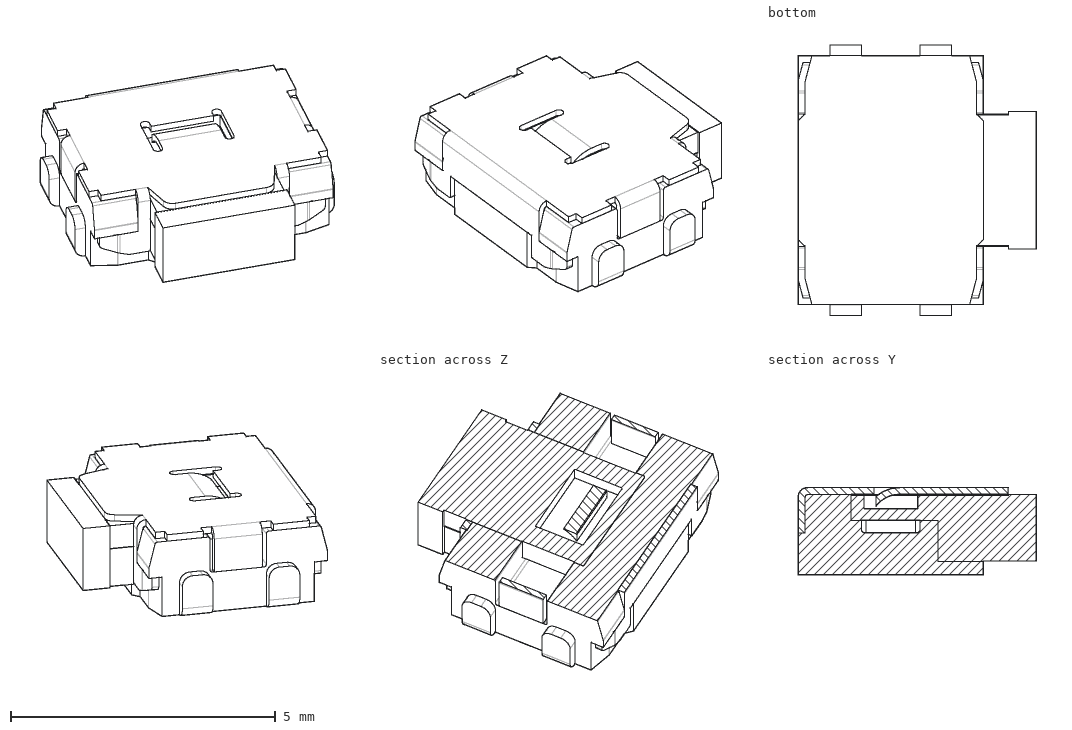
import cadquery as cq
import math


total_height = 1.65
sheet = 0.13
bend_radius = 0.18
inner_bend_radius = bend_radius - sheet
housing_length = 3.5
housing_width = 4.7
housing_height = total_height - sheet
half_length = housing_length / 2
half_width = housing_width / 2
shoulder_z = 0.8
edge_round = 0.05

taper_start_z = 1.0
taper_inset = 0.13
foot_block_half = 1.12
recess_x = half_length - sheet
notch_half = 0.55

wall_half = 1.49
tab_half = 0.47
relief_half = 0.685
corner_relief = 0.18
window_slot_y = 0.705
window_slot_length = 1.01
window_slot_width = 0.18
window_start_x = -0.316
spring_tip_x = -0.28
spring_root_x = 0.174
spring_radius = 0.7
visor_end_half = 1.046
visor_round = 0.2

fold_angle = math.radians(14.8)
fold_outer_radius = sheet + edge_round
fold_y = 1.845
wing_start_y = 1.25
wing_end_y = 2.225
wing_bottom_z = 0.3
wing_slope_start_y = 1.665
wing_slope_end_z = 0.507
wing_tip_round = 0.08
wing_slope_round = 0.1
wing_inner_round = 0.03

button_end_x = 2.75
head_start_x = 2.22
head_width = 2.6
neck_width = 2.5
stem_width = 2.46
button_bottom_z = 0.26
slide_bottom_z = 1.03
slide_clearance = 0.02
slide_start_x = -0.75
stem_start_x = 0.9
spring_pocket_depth = 0.27

terminal_pitch = 1.7
terminal_width = 0.6
terminal_height = 0.85
terminal_thickness = 0.205
terminal_round = 0.2


def box(x0, x1, y0, y1, z0, z1):
    """Block between two opposite corners."""
    return cq.Workplane("XY").box(x1 - x0, y1 - y0, z1 - z0, centered=False).translate((x0, y0, z0))


def four_corners(quadrant):
    """The +X +Y body and its mirror images in the other three quadrants."""
    side = quadrant.union(quadrant.mirror("XZ"))
    return side.union(side.mirror("YZ"))


def make_button():
    slide_top_z = housing_height - slide_clearance
    head = box(head_start_x, button_end_x, -head_width / 2, head_width / 2, button_bottom_z, housing_height)
    slide = box(slide_start_x, head_start_x, -neck_width / 2, neck_width / 2, slide_bottom_z, slide_top_z)
    stem = box(stem_start_x, head_start_x, -stem_width / 2, stem_width / 2, button_bottom_z, slide_bottom_z)
    pocket = box(
        -window_slot_length / 2, window_slot_length / 2,
        -window_slot_y - window_slot_width / 2, window_slot_y + window_slot_width / 2,
        housing_height - spring_pocket_depth, housing_height,
    )
    return head.union(slide).union(stem).cut(pocket)


def bent_wall(distance, start, end):
    """Wall with its bend, facing +X at the given distance and running from start to end along Y."""
    bend_x = distance - bend_radius
    bend_z = total_height - bend_radius
    diagonal = math.sqrt(0.5)
    return (
        cq.Workplane("XZ", origin=(0, end, 0))
        .moveTo(bend_x, total_height)
        .threePointArc(
            (bend_x + bend_radius * diagonal, bend_z + bend_radius * diagonal), (distance, bend_z)
        )
        .lineTo(distance, shoulder_z)
        .lineTo(distance - sheet, shoulder_z)
        .lineTo(distance - sheet, bend_z)
        .threePointArc(
            (bend_x + inner_bend_radius * diagonal, bend_z + inner_bend_radius * diagonal),
            (bend_x, housing_height),
        )
        .close()
        .extrude(end - start)
    )


def make_wing():
    """Wing of the +X +Y corner: a folded strip trimmed to its side outline."""
    def fold_point(radius, angle, run=0.0):
        x = half_length - fold_outer_radius + radius * math.cos(angle) - run * math.sin(angle)
        y = fold_y + radius * math.sin(angle) + run * math.cos(angle)
        return (x, y)

    run = half_width - fold_y
    inner = fold_outer_radius - sheet
    strip = (
        cq.Workplane("XY")
        .moveTo(half_length, wing_start_y)
        .lineTo(half_length, fold_y)
        .threePointArc(
            fold_point(fold_outer_radius, fold_angle / 2), fold_point(fold_outer_radius, fold_angle)
        )
        .lineTo(*fold_point(fold_outer_radius, fold_angle, run))
        .lineTo(*fold_point(inner, fold_angle, run))
        .lineTo(*fold_point(inner, fold_angle))
        .threePointArc(fold_point(inner, fold_angle / 2), fold_point(inner, 0))
        .lineTo(recess_x, wing_start_y)
        .close()
        .extrude(shoulder_z)
    )
    outline = (
        cq.Workplane("YZ")
        .moveTo(wing_start_y, shoulder_z)
        .lineTo(wing_start_y, wing_bottom_z)
        .lineTo(wing_slope_start_y, wing_bottom_z)
        .lineTo(wing_end_y, wing_slope_end_z)
        .lineTo(wing_end_y, shoulder_z)
        .close()
        .extrude(housing_length)
        .edges(cq.selectors.NearestToPointSelector((half_length, wing_end_y, wing_slope_end_z)))
        .fillet(wing_tip_round)
        .edges(cq.selectors.NearestToPointSelector((half_length, wing_slope_start_y, wing_bottom_z)))
        .fillet(wing_slope_round)
        .edges(cq.selectors.NearestToPointSelector((half_length, wing_start_y, wing_bottom_z)))
        .fillet(wing_inner_round)
    )
    return strip.intersect(outline)


def make_plate():
    """Flat top of the cover with its corner and bend reliefs and the visor over the button neck."""
    plate_half_length = half_length - bend_radius
    plate = box(-plate_half_length, plate_half_length, -half_width, half_width, housing_height, total_height)
    for side in (-1, 1):
        edge_y = side * (half_width - corner_relief / 2)
        reliefs = (
            (-plate_half_length + corner_relief / 2, corner_relief),
            (0, 2 * relief_half),
            (plate_half_length - corner_relief / 2, corner_relief),
        )
        for relief_x, length in reliefs:
            relief = cq.Workplane("XY").box(length, corner_relief, 2 * total_height)
            plate = plate.cut(relief.translate((relief_x, edge_y, total_height)))
    visor = (
        cq.Workplane("XY", origin=(0, 0, housing_height))
        .polyline([
            (0, -neck_width / 2),
            (plate_half_length, -neck_width / 2),
            (head_start_x, -visor_end_half),
            (head_start_x, visor_end_half),
            (plate_half_length, neck_width / 2),
            (0, neck_width / 2),
        ])
        .close()
        .extrude(sheet)
        .edges("|Z and >X")
        .fillet(visor_round)
    )
    return plate.union(visor)


def make_spring():
    """Tongue cut free from the top plate and curved down towards -X."""
    width = 2 * window_slot_y - window_slot_width
    axis_z = total_height - spring_radius
    ring = (
        cq.Workplane("XZ", origin=(spring_root_x, width / 2, axis_z))
        .circle(spring_radius)
        .circle(spring_radius - sheet)
        .extrude(width)
    )
    return ring.intersect(box(spring_tip_x, spring_root_x, -width / 2, width / 2, axis_z, total_height))


def make_cover():
    cover = make_plate()
    slots = (
        cq.Workplane("XY", origin=(0, 0, housing_height))
        .pushPoints([(0, -window_slot_y), (0, window_slot_y)])
        .slot2D(window_slot_length, window_slot_width)
        .extrude(sheet)
    )
    window = box(
        window_start_x, spring_root_x, -window_slot_y, window_slot_y, housing_height, total_height
    )
    cover = cover.cut(slots).cut(window).union(make_spring())

    back_wall = bent_wall(half_length, -wall_half, wall_half).mirror("YZ")
    cover = cover.union(back_wall)
    front_wall = bent_wall(half_length, neck_width / 2, wall_half)
    cover = cover.union(front_wall).union(front_wall.mirror("XZ"))
    for turn in (90, -90):
        tab = bent_wall(half_width, -tab_half, tab_half).rotate((0, 0, 0), (0, 0, 1), turn)
        cover = cover.union(tab)
    return cover.union(four_corners(make_wing()))


def make_lower_body():
    """Body below the shoulder: end blocks with chamfered sides, slanted corners behind the wings."""
    corner_y = fold_y + (fold_outer_radius - sheet) * math.tan(fold_angle / 2)
    corner_x = recess_x - (half_width - corner_y) * math.tan(fold_angle)
    quadrant = (
        cq.Workplane("XY")
        .polyline([
            (0, 0),
            (half_length, 0),
            (half_length, foot_block_half),
            (recess_x, foot_block_half + sheet),
            (recess_x, corner_y),
            (corner_x, half_width),
            (0, half_width),
        ])
        .close()
        .extrude(shoulder_z)
        .edges(cq.selectors.NearestToPointSelector((recess_x, corner_y, shoulder_z / 2)))
        .fillet(fold_outer_radius - sheet)
    )
    return four_corners(quadrant)


def make_upper_body():
    """Body above the shoulder: tapered ends, let in between the corners for the cover walls."""
    body = (
        cq.Workplane("XZ", origin=(0, half_width, 0))
        .polyline([
            (-half_length, shoulder_z),
            (half_length, shoulder_z),
            (half_length, taper_start_z),
            (half_length - taper_inset, housing_height),
            (-half_length + taper_inset, housing_height),
            (-half_length, taper_start_z),
        ])
        .close()
        .extrude(housing_width)
        .edges("|Y and (not <Z)")
        .fillet(edge_round)
    )
    for x0, x1 in ((-half_length, -recess_x), (recess_x, half_length)):
        body = body.cut(box(x0, x1, -wall_half, wall_half, shoulder_z, housing_height))
    return body


def make_tab_notch():
    """Passage across the housing, with rounded bottom corners and a flared, rounded mouth."""
    notch = box(-notch_half, notch_half, -half_width, half_width, shoulder_z, housing_height)
    notch = notch.edges("|Y and <Z").fillet(edge_round)
    mouth_half = notch_half + edge_round
    mouth_z = housing_height - edge_round
    mouth = box(-mouth_half, mouth_half, -half_width, half_width, mouth_z, housing_height)
    for side in (-1, 1):
        lip = (
            cq.Workplane("XZ", origin=(side * mouth_half, half_width, mouth_z))
            .circle(edge_round)
            .extrude(housing_width)
        )
        mouth = mouth.cut(lip)
    return notch.union(mouth)


def make_housing(cover):
    housing = make_lower_body().union(make_upper_body()).cut(make_tab_notch())
    slide_guide = box(
        slide_start_x, half_length, -neck_width / 2, neck_width / 2, slide_bottom_z, housing_height
    )
    stem_guide = box(
        stem_start_x, half_length, -stem_width / 2, stem_width / 2, button_bottom_z, slide_bottom_z
    )
    return housing.cut(slide_guide).cut(stem_guide).cut(cover)


def make_terminal(x, side):
    """Round-topped pad on the +Y (side = 1) or -Y (side = -1) face, rounded at the outer bottom edge."""
    pad = box(
        x - terminal_width / 2, x + terminal_width / 2,
        half_width, half_width + terminal_thickness,
        0, terminal_height,
    )
    pad = pad.edges("|Y and >Z").fillet(terminal_round)
    pad = pad.edges("|X and >Y and <Z").fillet(terminal_round)
    return pad if side > 0 else pad.mirror("XZ")


button = make_button()
cover = make_cover()
housing = make_housing(cover)
terminals = [
    make_terminal(x, side)
    for x in (-terminal_pitch / 2, terminal_pitch / 2)
    for side in (-1, 1)
]

result = cq.Compound.makeCompound(
    [body.solids().val() for body in (housing, cover, button, *terminals)]
)